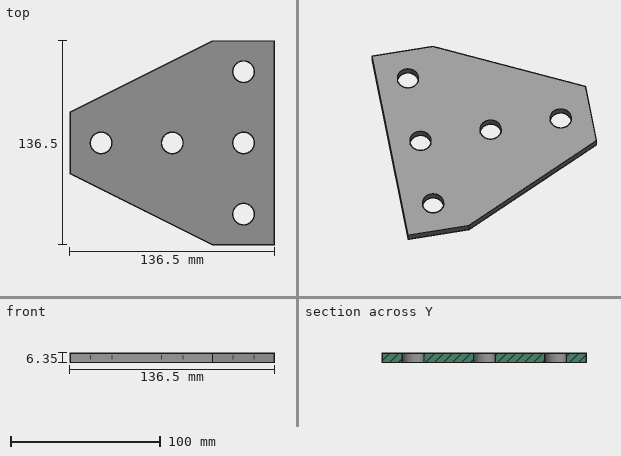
import cadquery as cq

hole_pitch = 47.625
edge_distance = 20.6375
hole_diameter = 14.2875
thickness = 6.35

plate_size = 2 * hole_pitch + 2 * edge_distance
half_size = plate_size / 2
arm_width = 2 * edge_distance
shoulder_x = half_size - arm_width


def tee_plate():
    """Flat plate with a wide crossbar at +X, tapering to a narrow stem end at -X."""
    outline = [
        (-half_size, -edge_distance),
        (shoulder_x, -half_size),
        (half_size, -half_size),
        (half_size, half_size),
        (shoulder_x, half_size),
        (-half_size, edge_distance),
    ]
    return cq.Workplane("XY").polyline(outline).close().extrude(thickness)


def bolt_holes():
    """Cylinders for three holes along the stem and one at each crossbar end."""
    stem = [(column * hole_pitch, 0) for column in (-1, 0, 1)]
    crossbar_ends = [(hole_pitch, side * hole_pitch) for side in (-1, 1)]
    return (
        cq.Workplane("XY")
        .pushPoints(stem + crossbar_ends)
        .circle(hole_diameter / 2)
        .extrude(thickness)
    )


result = tee_plate().cut(bolt_holes())